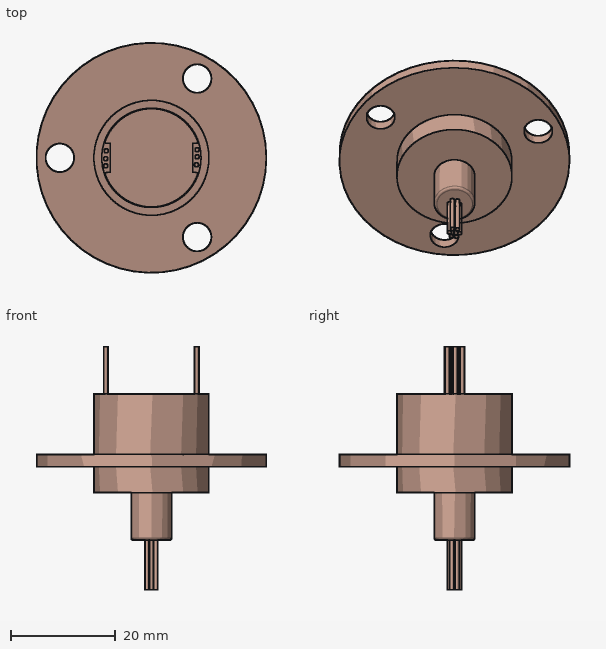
import cadquery as cq
import math

flange_diameter = 44.0
flange_thickness = 2.4
mount_hole_diameter = 5.4
mount_circle_radius = 17.5
mount_hole_count = 3
first_mount_hole_angle = 60.0

housing_diameter = 22.0
housing_top = 14.0
housing_bottom = -4.9

bore_diameter = 19.0
cap_gap = 0.1
cap_depth = 1.0
window_inner_x = 7.9
window_inner_width = 5.5
window_outer_width = 5.8

stem_diameter = 7.8
stem_length = 9.1
stem_edge_radius = 0.5
stem_bottom = housing_bottom - stem_length

wire_diameter = 0.8
top_wire_length = 9.0
bottom_wire_length = 9.5
bottom_wire_count = 6
bottom_wire_circle_radius = 0.98
first_bottom_wire_angle = 90.0

top_wire_centers = [(8.63, -1.33), (8.74, 0.18), (8.74, 1.54)]


def cylinder(diameter, bottom, top, center=(0, 0)):
    """Upright cylinder between two heights."""
    return cq.Workplane("XY", origin=(*center, bottom)).circle(diameter / 2).extrude(top - bottom)


def circle_points(radius, count, first_angle):
    """Evenly spaced points on a circle about the Z axis."""
    angles = [math.radians(first_angle + 360.0 * i / count) for i in range(count)]
    return [(radius * math.cos(a), radius * math.sin(a)) for a in angles]


def make_flange():
    flange = cylinder(flange_diameter, 0, flange_thickness)
    for center in circle_points(mount_circle_radius, mount_hole_count, first_mount_hole_angle):
        flange = flange.cut(cylinder(mount_hole_diameter, 0, flange_thickness, center))
    return flange


def make_cap_recess():
    """Thin ring around the cap plus the two wire windows at its +X and -X edges."""
    recess_floor = housing_top - cap_depth
    bore = cylinder(bore_diameter, recess_floor, housing_top)
    cap = cylinder(bore_diameter - 2 * cap_gap, recess_floor, housing_top)
    outer_x = bore_diameter / 2
    for side in (-1, 1):
        window = (
            cq.Workplane("XY", origin=(0, 0, recess_floor))
            .moveTo(side * window_inner_x, -window_inner_width / 2)
            .lineTo(side * outer_x, -window_outer_width / 2)
            .lineTo(side * outer_x, window_outer_width / 2)
            .lineTo(side * window_inner_x, window_inner_width / 2)
            .close()
            .extrude(cap_depth)
        )
        cap = cap.cut(window)
    return bore.cut(cap)


def make_stem():
    stem = cylinder(stem_diameter, stem_bottom, housing_bottom)
    return stem.faces("<Z").edges().fillet(stem_edge_radius)


def add_top_wires(body):
    """Two opposite groups of wires rising from the floors of the cap windows."""
    for side in (1, -1):
        for x, y in top_wire_centers:
            wire = cylinder(
                wire_diameter,
                housing_top - cap_depth,
                housing_top + top_wire_length,
                (side * x, side * y),
            )
            body = body.union(wire)
    return body


def add_bottom_wires(body):
    """Ring of wires hanging from the end of the stem."""
    wire_end = stem_bottom - bottom_wire_length
    for center in circle_points(bottom_wire_circle_radius, bottom_wire_count, first_bottom_wire_angle):
        body = body.union(cylinder(wire_diameter, wire_end, stem_bottom, center))
    return body


housing = cylinder(housing_diameter, housing_bottom, housing_top)
body = make_flange().union(housing).cut(make_cap_recess()).union(make_stem())
result = add_bottom_wires(add_top_wires(body))